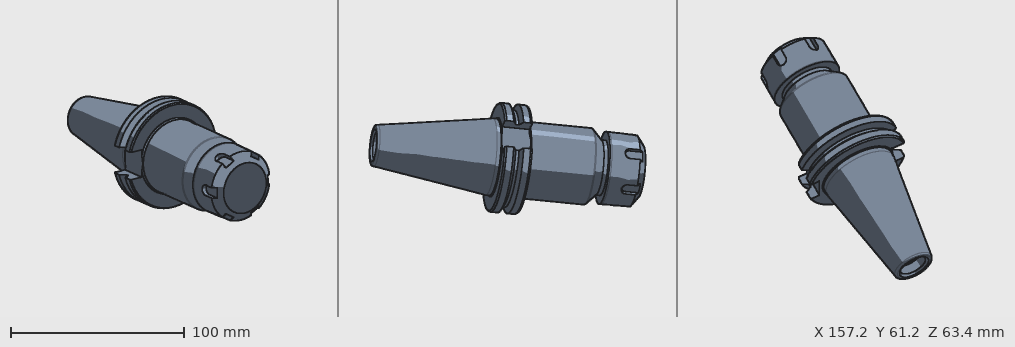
import cadquery as cq
import math

total_length = 157.2
taper_end = 68.1
flange_start = 71.0
flange_width = 16.2
body_end = 126.0
nut_start = 135.0
nut_cone_start = 152.8

taper_small_diameter = 24.2
body_diameter = 44.5
flange_diameter = 63.4
neck_diameter = 32.0
nut_diameter = 42.1
nut_cone_base_diameter = 41.8
nut_face_diameter = 30.5

body_cone_angle = math.radians(45)
mouth_cone_angle = math.radians(45)

taper_end_round = 1.3
body_edge_round = 1.0
nut_edge_length = 1.0
flange_edge_length = 1.1
flange_edge_depth = 0.6
front_root_length = 0.5
rear_root_length = 1.3
root_diameter = 45.9

groove_depth = 3.5
groove_floor_width = 1.9
groove_flank_angle = math.radians(30)

slot_width = 16.7
front_slot_floor = 22.5
back_slot_floor = 24.8

mouth_diameter = 18.9
counterbore_diameter = 16.2
counterbore_depth = 7.0
bore_diameter = 13.4
bore_depth = 31.5

wrench_slot_count = 6
wrench_slot_width = 6.3
wrench_slot_start = 144.0
wrench_slot_end = 155.0
wrench_slot_floor = 18.1

taper_small_radius = taper_small_diameter / 2
body_radius = body_diameter / 2
flange_radius = flange_diameter / 2
neck_radius = neck_diameter / 2
nut_radius = nut_diameter / 2
root_radius = root_diameter / 2
flange_end = flange_start + flange_width


def revolve_about_x(profile):
    """Close a half profile along the X axis and turn it into a solid."""
    return profile.close().revolve(360, (0, 0, 0), (1, 0, 0))


def make_shank():
    """Taper, body, neck and nut as one turned solid."""
    cone_start = body_end + body_edge_round * math.sin(body_cone_angle)
    cone_radius = body_radius - body_edge_round * (1 - math.cos(body_cone_angle))
    neck_start = cone_start + (cone_radius - neck_radius) / math.tan(body_cone_angle)
    profile = (
        cq.Workplane("XY")
        .lineTo(0, taper_small_radius - taper_end_round)
        .radiusArc((taper_end_round, taper_small_radius), taper_end_round)
        .lineTo(taper_end, body_radius)
        .lineTo(flange_start - front_root_length, body_radius)
        .lineTo(flange_start, root_radius)
        .lineTo(flange_end, root_radius)
        .lineTo(flange_end + rear_root_length, body_radius)
        .lineTo(body_end, body_radius)
        .radiusArc((cone_start, cone_radius), body_edge_round)
        .lineTo(neck_start, neck_radius)
        .lineTo(nut_start, neck_radius)
        .lineTo(nut_start, nut_radius)
        .lineTo(nut_start + nut_edge_length, nut_radius)
        .lineTo(nut_cone_start, nut_cone_base_diameter / 2)
        .lineTo(total_length, nut_face_diameter / 2)
        .lineTo(total_length, 0)
    )
    return revolve_about_x(profile)


def make_flange():
    """Flange disc with bevelled edges and a V groove."""
    edge_radius = flange_radius - flange_edge_depth
    floor_radius = flange_radius - groove_depth
    groove_middle = flange_start + flange_width / 2
    half_floor = groove_floor_width / 2
    half_mouth = half_floor + groove_depth * math.tan(groove_flank_angle)
    return revolve_about_x(
        cq.Workplane("XY")
        .moveTo(flange_start, 0)
        .lineTo(flange_start, edge_radius)
        .lineTo(flange_start + flange_edge_length, flange_radius)
        .lineTo(groove_middle - half_mouth, flange_radius)
        .lineTo(groove_middle - half_floor, floor_radius)
        .lineTo(groove_middle + half_floor, floor_radius)
        .lineTo(groove_middle + half_mouth, flange_radius)
        .lineTo(flange_end - flange_edge_length, flange_radius)
        .lineTo(flange_end, edge_radius)
        .lineTo(flange_end, 0)
    )


def make_drive_slot(side, floor):
    """Cutter over the flange and its root cones, on the -Y (-1) or +Y (+1) side."""
    cutter_start = flange_start - front_root_length
    cutter_length = flange_width + front_root_length + rear_root_length
    return (
        cq.Workplane("XY")
        .box(cutter_length, flange_radius, slot_width, centered=(False, True, True))
        .translate((cutter_start, side * (floor + flange_radius / 2), 0))
    )


def make_drawbar_bore():
    """Blind stepped bore with a conical mouth, cut from the small end."""
    mouth_radius = mouth_diameter / 2
    counterbore_radius = counterbore_diameter / 2
    bore_radius = bore_diameter / 2
    mouth_depth = (mouth_radius - counterbore_radius) / math.tan(mouth_cone_angle)
    return revolve_about_x(
        cq.Workplane("XY")
        .lineTo(0, mouth_radius)
        .lineTo(mouth_depth, counterbore_radius)
        .lineTo(counterbore_depth, counterbore_radius)
        .lineTo(counterbore_depth, bore_radius)
        .lineTo(bore_depth, bore_radius)
        .lineTo(bore_depth, 0)
    )


def make_wrench_slot(angle):
    """Flat-floored slot with a round inner end, turned about X from the -Y side."""
    half_width = wrench_slot_width / 2
    return (
        cq.Workplane("XZ", origin=(0, -wrench_slot_floor, 0))
        .moveTo(wrench_slot_end, half_width)
        .lineTo(wrench_slot_start + half_width, half_width)
        .threePointArc((wrench_slot_start, 0), (wrench_slot_start + half_width, -half_width))
        .lineTo(wrench_slot_end, -half_width)
        .close()
        .extrude(nut_radius)
        .rotate((0, 0, 0), (1, 0, 0), angle)
    )


result = make_shank().union(make_flange())

result = result.cut(make_drive_slot(-1, front_slot_floor))
result = result.cut(make_drive_slot(1, back_slot_floor))
result = result.cut(make_drawbar_bore())
for index in range(wrench_slot_count):
    result = result.cut(make_wrench_slot(index * 360 / wrench_slot_count))